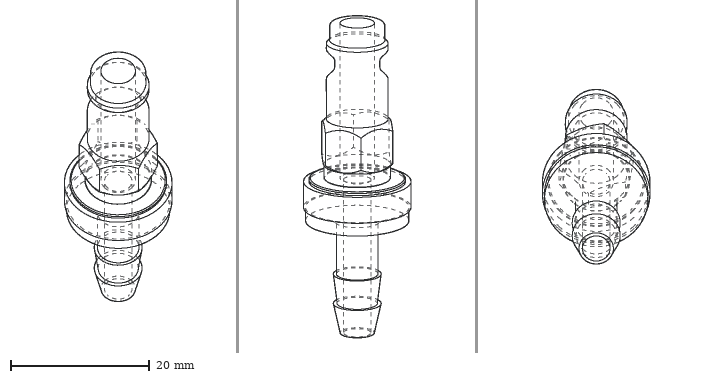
import cadquery as cq
import math

total_height = 47.0
barb_height = 4.45
barb_count = 2
flange_bottom = 17.0
flange_step = 19.05
flange_top = 23.0
boss_top = 23.5
hex_bottom = 25.55
hex_top = 32.5
groove_bottom_corner = 38.6
groove_top_corner = 42.95
groove_flank_height = 1.25
rim_top = 43.95

bore_diameter = 4.0
wide_bore_diameter = 5.0
stem_diameter = 6.0
barb_diameter = 6.95
barb_waist_diameter = 5.85
barb_tip_diameter = 5.0
flange_diameter = 15.6
flange_lower_diameter = 15.0
boss_diameter = 14.0
collar_diameter = 9.7
body_diameter = 9.0
groove_diameter = 6.6
nose_diameter = 8.05
hex_across_flats = 9.8

edge_fillet = 0.38
nose_fillet = 0.5
groove_fillet = 1.0
stem_fillet = 0.5
boss_chamfer = 0.2
collar_chamfer = 0.1

wide_bore_depth = 23.5
drill_point_angle = 118.0


def cylinder(diameter, bottom, top):
    return cq.Workplane("XY").workplane(offset=bottom).circle(diameter / 2).extrude(top - bottom)


def revolve_outline(points):
    """Turn (radius, height) points, closed along the Z axis, into a solid."""
    return cq.Workplane("XZ").polyline(points).close().revolve(360, (0, 0), (0, 1))


def cone(bottom_diameter, top_diameter, bottom, top):
    return revolve_outline([(0, bottom), (bottom_diameter / 2, bottom), (top_diameter / 2, top), (0, top)])


def fillet_circle(solid, height, radius):
    """Round the circular edge that lies at the given height."""
    margin = 0.05
    reach = flange_diameter
    slab = cq.selectors.BoxSelector((-reach, -reach, height - margin), (reach, reach, height + margin))
    return solid.edges(slab).edges("%CIRCLE").fillet(radius)


def make_hose_stem():
    flare = 2 * stem_fillet
    stem = cylinder(stem_diameter, barb_height * barb_count, flange_bottom)
    root = cylinder(stem_diameter + flare, flange_bottom - stem_fillet, flange_bottom)
    ring = cq.Workplane(
        cq.Solid.makeTorus(
            (stem_diameter + flare) / 2, stem_fillet, cq.Vector(0, 0, flange_bottom - stem_fillet)
        )
    )
    stem = stem.union(root.cut(ring))
    for index in range(barb_count):
        lower_diameter = barb_tip_diameter if index == 0 else barb_waist_diameter
        bottom = index * barb_height
        stem = stem.union(cone(lower_diameter, barb_diameter, bottom, bottom + barb_height))
    return stem


def make_flange():
    lower = cylinder(flange_lower_diameter, flange_bottom, flange_step)
    rim = cylinder(flange_diameter, flange_step, flange_top)
    boss = cylinder(boss_diameter, flange_top, boss_top).faces(">Z").chamfer(boss_chamfer)
    return lower.union(rim).union(boss)


def make_hex():
    """Hexagon with flats facing +X and -X, corners bevelled at 45 degrees."""
    across_corners = hex_across_flats / math.cos(math.radians(30))
    prism = (
        cq.Workplane("XY")
        .workplane(offset=hex_bottom)
        .polygon(6, across_corners)
        .extrude(hex_top - hex_bottom)
        .rotate((0, 0, 0), (0, 0, 1), 30)
    )
    corner_radius = across_corners / 2
    lower_radius = collar_diameter / 2
    upper_radius = body_diameter / 2
    bevel = revolve_outline([
        (0, hex_bottom),
        (lower_radius, hex_bottom),
        (corner_radius, hex_bottom + corner_radius - lower_radius),
        (corner_radius, hex_top - corner_radius + upper_radius),
        (upper_radius, hex_top),
        (0, hex_top),
    ])
    return prism.intersect(bevel)


def make_plug():
    """Body, locking groove with sloping flanks, rim and nose."""
    body_radius = body_diameter / 2
    groove_radius = groove_diameter / 2
    nose_radius = nose_diameter / 2
    groove_low = groove_bottom_corner + groove_flank_height
    groove_high = groove_top_corner - groove_flank_height
    nose_bottom = rim_top + body_radius - nose_radius
    plug = revolve_outline([
        (0, hex_top),
        (body_radius, hex_top),
        (body_radius, groove_bottom_corner),
        (groove_radius, groove_low),
        (groove_radius, groove_high),
        (body_radius, groove_top_corner),
        (body_radius, rim_top),
        (nose_radius, nose_bottom),
        (nose_radius, total_height),
        (0, total_height),
    ])

    for height in (groove_low, groove_high):
        plug = fillet_circle(plug, height, groove_fillet)
    for height in (groove_bottom_corner, groove_top_corner):
        plug = fillet_circle(plug, height, edge_fillet)
    return plug.faces(">Z").edges().fillet(nose_fillet)


def make_bore():
    """Through bore, wider from the nose down to a conical drill shoulder."""
    shoulder_top = total_height - wide_bore_depth
    half_angle = math.radians(drill_point_angle / 2)
    shoulder_height = (wide_bore_diameter - bore_diameter) / 2 / math.tan(half_angle)
    narrow = cylinder(bore_diameter, 0, total_height)
    wide = cylinder(wide_bore_diameter, shoulder_top, total_height)
    shoulder = cone(bore_diameter, wide_bore_diameter, shoulder_top - shoulder_height, shoulder_top)
    return narrow.union(wide).union(shoulder)


collar = cylinder(collar_diameter, boss_top, hex_bottom).faces("<Z").chamfer(collar_chamfer)

result = (
    make_hose_stem()
    .union(make_flange())
    .union(collar)
    .union(make_hex())
    .union(make_plug())
    .cut(make_bore())
)